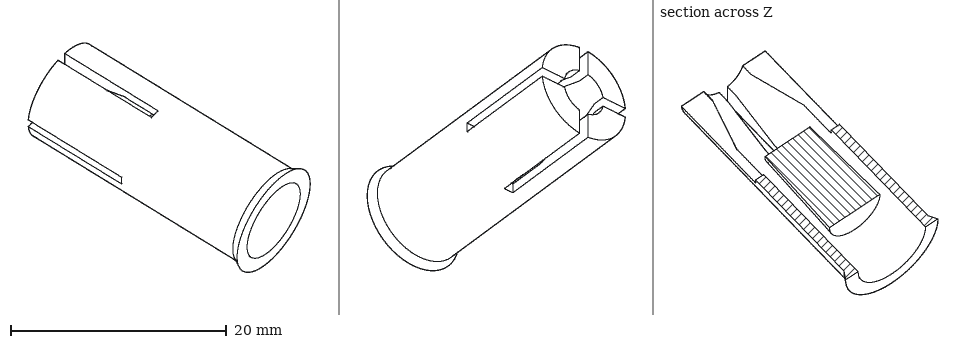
import cadquery as cq

sleeve_length = 25.0
sleeve_radius = 5.0
bore_radius = 4.0

rim_radius = 5.5
rim_length = 0.9

throat_radius = 2.35
throat_length = 1.25
throat_cone_end = 7.0

slot_width = 1.0
slot_length = 11.0

plug_start = 9.5
plug_length = 10.0
plug_small_radius = 2.68
plug_large_radius = 3.0


def revolve_about_x(profile):
    """Turn a closed (X, radius) outline into a solid about the X axis."""
    return cq.Workplane("XY").polyline(profile).close().revolve(360, (0, 0, 0), (1, 0, 0))


def make_sleeve():
    """Flared tube with a narrow throat, split into four fingers."""
    sleeve = revolve_about_x([
        (0, throat_radius),
        (0, sleeve_radius),
        (sleeve_length - rim_length, sleeve_radius),
        (sleeve_length, rim_radius),
        (sleeve_length, bore_radius),
        (throat_cone_end, bore_radius),
        (throat_length, throat_radius),
    ])
    slot = cq.Workplane("XY").box(
        slot_length, slot_width, 2 * rim_radius, centered=(False, True, True)
    )
    for angle in (0, 90):
        sleeve = sleeve.cut(slot.rotate((0, 0, 0), (1, 0, 0), angle))
    return sleeve


def make_plug():
    """Solid plug, tapering towards the slotted end of the sleeve."""
    plug_end = plug_start + plug_length
    return revolve_about_x([
        (plug_start, 0),
        (plug_start, plug_small_radius),
        (plug_end, plug_large_radius),
        (plug_end, 0),
    ])


sleeve = make_sleeve()
plug = make_plug()

result = cq.Compound.makeCompound([sleeve.val(), plug.val()])